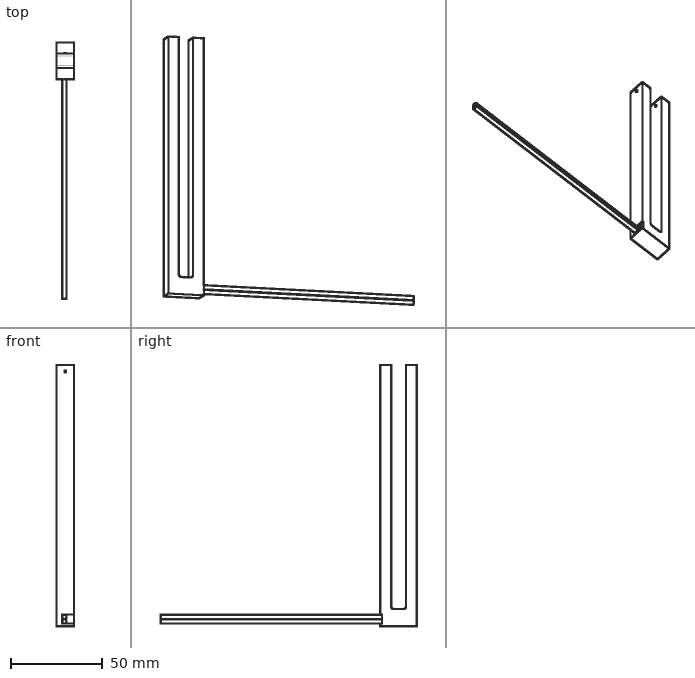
import cadquery as cq

width = 9.6
height = 142.9
depth = 20.1

front_arm = 6.1
slot_width = 8.0
slot_floor = 9.6
slot_corner_radius = 1.5

sight_diameter = 1.0
sight_drop = 3.6
sight_depth = 0.6

recess_left = 3.0
recess_bottom = 1.6
recess_height = 4.9
recess_depth = 1.0

total_depth = 140.0
wire_diameter = 2.5
wire_pitch = 2.6
wire_x = 4.3
wire_count = 2

slot_front = front_arm
slot_back = slot_front + slot_width
sight_z = height - sight_drop
wire_mid_z = recess_bottom + recess_height / 2
wire_end_y = depth - total_depth


def box(x, y, z, dx, dy, dz):
    """Box whose lowest corner is at x, y, z."""
    return cq.Workplane("XY").box(dx, dy, dz, centered=False).translate((x, y, z))


def rod(x, z, y_start, length, diameter):
    """Round rod running from y_start toward +Y."""
    return cq.Workplane(cq.Solid.makeCylinder(
        diameter / 2, length, cq.Vector(x, y_start, z), cq.Vector(0, 1, 0)
    ))


def make_housing():
    """Fork with two upright arms, a wire recess and a sight hole in the -Y face of each arm."""
    body = box(0, 0, 0, width, depth, height)
    slot = box(0, slot_front, slot_floor, width, slot_width, height - slot_floor)
    slot = slot.faces("<Z").edges("|X").fillet(slot_corner_radius)
    body = body.cut(slot)
    recess = box(recess_left, 0, recess_bottom, width - recess_left, recess_depth, recess_height)
    body = body.cut(recess)
    for face_y in (0, slot_back):
        body = body.cut(rod(width / 2, sight_z, face_y, sight_depth, sight_diameter))
    return body


def make_wire(z):
    """Wire running from its free end to the floor of the recess."""
    return rod(wire_x, z, wire_end_y, recess_depth - wire_end_y, wire_diameter)


housing = make_housing()
wires = []
for index in range(wire_count):
    offset = (index - (wire_count - 1) / 2) * wire_pitch
    wires.append(make_wire(wire_mid_z + offset).val())

result = cq.Compound.makeCompound([housing.val(), *wires])